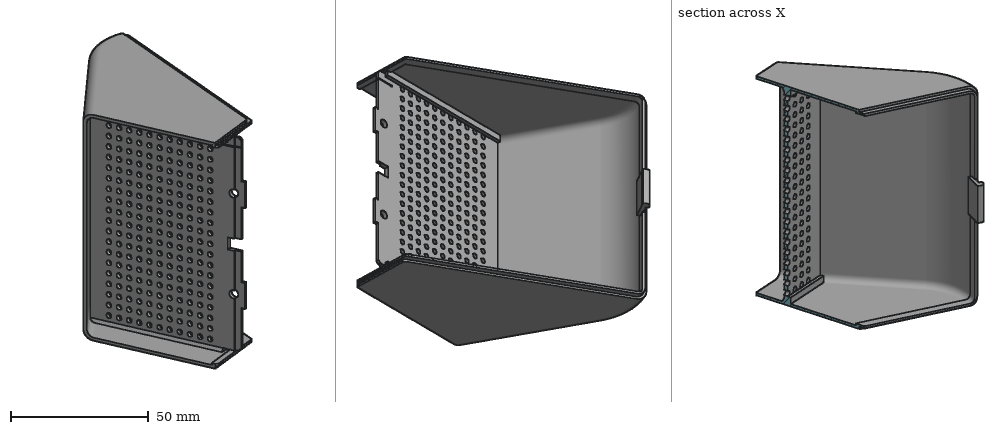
import cadquery as cq
import math

height = 90.0
wall = 1.4
ceiling = 1.3
edge_radius = 3.9
nose_radius = 25.2
nose_center_y = 58.6
lean_angle = math.radians(27)
slope_angle = math.radians(30)
right_x = 81.7
right_corner_y = 23.85
right_corner_radius = 1.35
overrun = 9.0

lip_inset = 1.0
lip_side_inset = 1.2
lip_inner_inset = 2.0
lip_wall_thickness = 1.0
lip_slope_height = 2.0
lip_right_height = 1.0
lip_overlap = 1.4
lip_chamfer = 1.0

divider_half_height = 42.4
divider_left_x = 22.95
divider_right_x = right_x + lip_right_height
divider_front_y = 12.3
tongue_front_y = 13.05
tongue_back_y = 14.2
tongue_right_x = 85.2
tongue_chamfer = 1.0
tab_right_x = 86.8
tab_height = 10.35
tab_offset_z = 20.1
notch_left_x = 80.1
notch_height = 4.9
notch_center_z = -0.3

vent_diameter = 2.0
vent_columns = 11
vent_rows = 20
vent_left_x = 30.6
vent_right_x = 72.7
vent_span_z = 79.9
mount_hole_diameter = 3.2
mount_hole_x = 82.35

bead_right_x = 78.1
bead_depth = 0.8
bead_height = height / 2 - ceiling - divider_half_height
rail_depth = 1.35
rail_height = 2.7

pad_bottom_z = 38.9
pad_depth = 0.3
pad_groove_x = 79.2
pad_groove_width = 0.8
pad_groove_depth = 0.5
pad_groove_margin = 1.0
slit_width = 0.4

hook_width = 15.2
hook_thickness = 1.8
hook_length = 8.1
hook_tip_x = 8.5
hook_tip_y = 74.8
hook_head_radius = 1.5
hook_head_offset = 0.5
hook_head_drop = 1.4
hook_undercut_drop = 2.5


def plan(inset, slope_shift, right_edge, front_y=0.0):
    """Housing plan outline, inset from the leaning wall and the nose, with the open sides moved."""
    radius = nose_radius - inset
    tangent_x = nose_radius - radius * math.cos(lean_angle)
    tangent_y = nose_center_y - radius * math.sin(lean_angle)
    front_left_x = tangent_x + (tangent_y - front_y) * math.tan(lean_angle)

    rise = (
        (nose_radius - right_x) * math.sin(slope_angle)
        + (nose_center_y - right_corner_y) * math.cos(slope_angle)
    )
    end_angle = math.pi / 2 - slope_angle + math.acos((slope_shift - rise) / radius)
    middle_angle = (end_angle + math.pi + lean_angle) / 2

    def on_nose(angle):
        return (nose_radius + radius * math.cos(angle), nose_center_y + radius * math.sin(angle))

    slope_right_y = (
        right_corner_y
        + slope_shift / math.cos(slope_angle)
        - (right_edge - right_x) * math.tan(slope_angle)
    )
    return (
        cq.Workplane("XY")
        .moveTo(front_left_x, front_y)
        .lineTo(tangent_x, tangent_y)
        .threePointArc(on_nose(middle_angle), on_nose(end_angle))
        .lineTo(right_edge, slope_right_y)
        .lineTo(right_edge, front_y)
        .close()
    )


def rounded_block(outline, inset):
    """Extrude an outline about mid height and round its edges along the leaning wall and the nose."""
    block_height = height - 2 * inset
    block = outline.extrude(block_height / 2, both=True)
    left_edges = cq.selectors.BoxSelector((-0.9, -overrun, -height), (nose_radius, height, height))
    return block.faces("|Z").edges(left_edges).fillet(edge_radius - inset)


def box(x_range, y_range, z_range):
    """Axis-aligned box between pairs of limits."""
    size = [high - low for low, high in (x_range, y_range, z_range)]
    return cq.Workplane("XY").box(*size, centered=False).translate((x_range[0], y_range[0], z_range[0]))


def make_shell():
    outer = rounded_block(plan(0, 0, right_x), 0)
    corner = cq.selectors.BoxSelector(
        (right_x - 0.9, right_corner_y - 0.9, -0.9), (right_x + 0.9, right_corner_y + 0.9, 0.9)
    )
    outer = outer.edges(corner).fillet(right_corner_radius)
    cavity = rounded_block(plan(wall, overrun, right_x + overrun, -overrun), ceiling)
    return outer.cut(cavity)


def make_lip():
    outer = rounded_block(plan(lip_side_inset, lip_slope_height, divider_right_x), lip_inset)
    outer = outer.edges("|Z").edges(">X and <Y").chamfer(lip_chamfer)
    cavity = rounded_block(
        plan(lip_side_inset + lip_wall_thickness, overrun, right_x + overrun, -overrun), lip_inner_inset
    )
    inside = plan(0, -lip_overlap, right_x - lip_overlap, -overrun).extrude(height, both=True)
    return outer.cut(cavity).cut(inside)


def make_divider():
    full_height = (-divider_half_height, divider_half_height)
    plate = box((divider_left_x, divider_right_x), (divider_front_y, tongue_back_y), full_height)
    tongue_depth = (tongue_front_y, tongue_back_y)
    tongue = box((notch_left_x, tongue_right_x), tongue_depth, full_height)
    tongue = tongue.edges(">X and |Y").chamfer(tongue_chamfer)
    divider = plate.union(tongue)
    for tab_z in (-tab_offset_z, tab_offset_z):
        tab_span = (tab_z - tab_height / 2, tab_z + tab_height / 2)
        divider = divider.union(box((notch_left_x, tab_right_x), tongue_depth, tab_span))

    notch_span = (notch_center_z - notch_height / 2, notch_center_z + notch_height / 2)
    divider = divider.cut(box((notch_left_x, tab_right_x), (0, overrun * 2), notch_span))
    return divider.cut(make_corner_pad_cuts()).cut(make_divider_holes())


def make_corner_pad_cuts():
    pad_span = (pad_bottom_z, divider_half_height)
    recess = box(
        (bead_right_x, divider_right_x), (divider_front_y, divider_front_y + pad_depth), pad_span
    )
    groove_y = divider_front_y + pad_depth
    groove = (
        cq.Workplane("XY", origin=(0, 0, pad_bottom_z + pad_groove_margin))
        .moveTo(pad_groove_x, groove_y)
        .lineTo(pad_groove_x, groove_y + pad_groove_depth)
        .lineTo(pad_groove_x + pad_groove_width, groove_y)
        .close()
        .extrude(divider_half_height - pad_bottom_z - pad_groove_margin)
    )
    slit = box(
        (bead_right_x, tab_right_x),
        (divider_front_y, tongue_back_y),
        (pad_bottom_z - slit_width, pad_bottom_z),
    )
    return recess.union(groove).union(slit)


def make_divider_holes():
    vent_x = (vent_left_x + vent_right_x) / 2
    drill = cq.Workplane("XZ", origin=(vent_x, tongue_back_y + 0.9, 0))
    depth = tongue_back_y - divider_front_y + 1.8
    vents = drill.rarray(
        (vent_right_x - vent_left_x) / (vent_columns - 1),
        vent_span_z / (vent_rows - 1),
        vent_columns,
        vent_rows,
    ).circle(vent_diameter / 2).extrude(depth)
    mounts = drill.pushPoints(
        [(mount_hole_x - vent_x, side * tab_offset_z) for side in (-1, 1)]
    ).circle(mount_hole_diameter / 2).extrude(depth)
    return vents.add(mounts).combine()


def make_supports():
    """Bead and rail joining the divider to the floor; mirrored for the ceiling."""
    floor_z = -height / 2 + ceiling
    bead = (
        cq.Workplane("YZ", origin=(divider_left_x, 0, 0))
        .moveTo(divider_front_y - bead_depth, floor_z)
        .lineTo(divider_front_y, floor_z + bead_height)
        .lineTo(tongue_back_y, floor_z + bead_height)
        .lineTo(tongue_back_y, floor_z)
        .close()
        .extrude(bead_right_x - divider_left_x)
    )
    rail = box(
        (divider_left_x, right_x),
        (tongue_back_y, tongue_back_y + rail_depth),
        (floor_z, floor_z + rail_height),
    )
    lower = bead.union(rail)
    return lower.union(lower.mirror("XY"))


def make_hook():
    """Hook drawn upright with its tip at the origin, then leaned square to the slope."""
    stem = (
        cq.Workplane("XY")
        .center(0, -hook_length / 2)
        .rect(hook_thickness, hook_length)
        .extrude(hook_width / 2, both=True)
    )
    head = (
        cq.Workplane("XY")
        .center(-hook_head_offset, -hook_head_drop)
        .circle(hook_head_radius)
        .extrude(hook_width / 2, both=True)
    )
    below_catch = (
        cq.Workplane("XY")
        .center(0, -hook_undercut_drop - hook_head_radius)
        .rect(4 * hook_head_radius, 2 * hook_head_radius)
        .extrude(hook_width / 2, both=True)
    )
    hook = stem.union(head.cut(below_catch))
    hook = hook.rotate((0, 0, 0), (0, 0, 1), -math.degrees(slope_angle))
    return hook.translate((hook_tip_x, hook_tip_y, 0))


result = make_shell().union(make_lip()).union(make_divider()).union(make_supports()).union(make_hook())